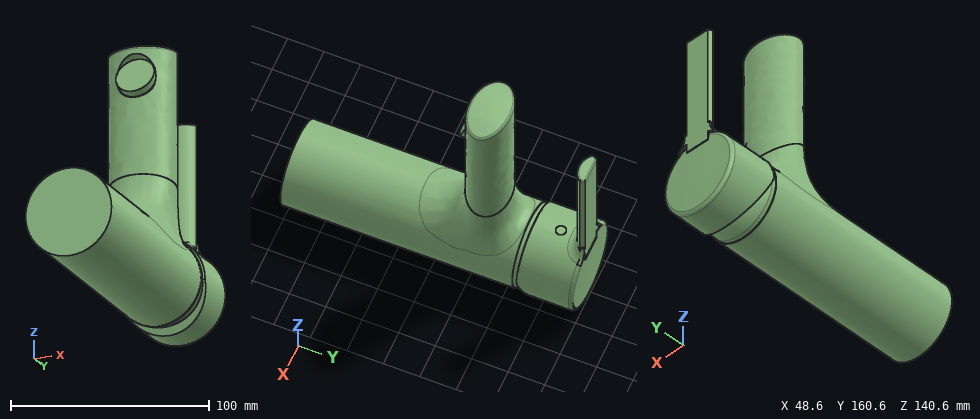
import cadquery as cq
import math

BODY_RADIUS = 23.3
BODY_LENGTH = 127.0

NECK_RADIUS = 22.8
NECK_MID_RADIUS = 21.4
NECK_TIP_RADIUS = 18.5
NECK_TIP_Y = 139.7
CAP_RADIUS = 24.3
CAP_FRONT_Y = 129.8
CAP_BEVEL_Y = 140.4
CAP_BACK_Y = 160.6
CAP_DOME = 0.5
CAP_EDGE_FILLET = 2.0
DOT_RADIUS = 2.7
DOT_Y = 144.0
DOT_DEPTH = 0.2

LEVER_TOP = 91.9
LEVER_HALF_WIDTH = 8.7
LEVER_BACK_HALF_WIDTH = 7.4
LEVER_THICKNESS = 6.7
LEVER_SIDE_DEPTH = 2.5
LEVER_TOP_FILLET = 0.8
FLARE_TOP = 29.0
FLARE_HALF_WIDTH = 13.5
FLARE_DEPTH = 11.4

SPOUT_Y = 105.2
SPOUT_HALF_WIDTH = 18.3
SPOUT_HALF_DEPTH = 11.2
SPOUT_TOP = 116.3
SPOUT_DOME_RADIUS = 80.3
SPOUT_EDGE_FILLET = 1.3

BLEND_MID_Z = 42.4
BLEND_RISE = 5.1
BLEND_HALF_WIDTH = 21.5
BLEND_FRONT_Y = 68.5
BLEND_BACK_Y = 126.9

BLEND_SINK = 0.02
BLEND_LIP = 0.06
FOOT_SQUARENESS = 2.6
BLEND_STEPS = 6
RING_POINTS = 24

AERATOR_RADIUS = 10.3
AERATOR_Y = 94.0
AERATOR_Z = 100.0
AERATOR_TILT = 22.0
AERATOR_HEIGHT = 4.5
POCKET_RADIUS = 10.6
POCKET_LENGTH = 12.8


def make_body():
    body = cq.Workplane("XZ").circle(BODY_RADIUS).extrude(-BODY_LENGTH)
    neck_mid_y = (CAP_FRONT_Y + NECK_TIP_Y) / 2
    neck = (
        cq.Workplane("XY")
        .moveTo(0, BODY_LENGTH)
        .lineTo(NECK_RADIUS, BODY_LENGTH)
        .lineTo(NECK_RADIUS, CAP_FRONT_Y)
        .threePointArc((NECK_MID_RADIUS, neck_mid_y), (NECK_TIP_RADIUS, NECK_TIP_Y))
        .lineTo(0, NECK_TIP_Y)
        .close()
        .revolve(360, (0, 0, 0), (0, 1, 0))
    )
    return body.union(neck)


def make_cap():
    rim_y = CAP_BACK_Y - CAP_DOME
    rim_radius = CAP_RADIUS - CAP_EDGE_FILLET
    dome_radius = (rim_radius**2 + CAP_DOME**2) / (2 * CAP_DOME)
    cap = (
        cq.Workplane("XY")
        .moveTo(0, CAP_FRONT_Y)
        .lineTo(CAP_RADIUS, CAP_FRONT_Y)
        .lineTo(CAP_RADIUS, rim_y - CAP_EDGE_FILLET)
        .radiusArc((rim_radius, rim_y), -CAP_EDGE_FILLET)
        .radiusArc((0, CAP_BACK_Y), -dome_radius)
        .close()
        .revolve(360, (0, 0, 0), (0, 1, 0))
    )
    bevel = (
        cq.Workplane("YZ")
        .polyline([(CAP_FRONT_Y, 0), (CAP_BEVEL_Y, -CAP_RADIUS), (CAP_FRONT_Y, -CAP_RADIUS)])
        .close()
        .extrude(CAP_RADIUS, both=True)
    )
    dot = (
        cq.Workplane("XY", origin=(0, DOT_Y, CAP_RADIUS - DOT_DEPTH))
        .circle(DOT_RADIUS)
        .extrude(2 * DOT_DEPTH)
    )
    return cap.cut(bevel).cut(dot)


def blend_point(angle, t, radius, wall, foot):
    """Point on the curve from the upright wall (t = 0) to a bar along Y (t = 1).

    wall holds centre y, half width, half depth, middle height and half height
    difference of the upper ellipse; foot holds centre y, half width and half
    length of the footprint on the bar.
    """
    across, along = math.cos(angle), math.sin(angle)
    wall_y, wall_half_width, wall_half_depth, wall_z, wall_rise = wall
    start_x = (wall_half_width + BLEND_LIP) * across
    start_y = wall_y + (wall_half_depth + BLEND_LIP) * along
    start = cq.Vector(start_x, start_y, wall_z - wall_rise * along)

    foot_y, foot_half_width, foot_half_length = foot
    power = FOOT_SQUARENESS
    stretch = (abs(across) ** power + abs(along) ** power) ** (-1 / power)
    wrap = math.asin(foot_half_width / radius) * across * stretch
    foot_radius = radius - BLEND_SINK
    end = cq.Vector(
        foot_radius * math.sin(wrap),
        foot_y + foot_half_length * along * stretch,
        foot_radius * math.cos(wrap),
    )

    tangent_z = (foot_radius - start_x * math.sin(wrap)) / math.cos(wrap)
    control = cq.Vector(start_x, start_y, tangent_z)
    return start * (1 - t) ** 2 + control * (2 * t * (1 - t)) + end * t**2


def make_blend(radius, wall, foot):
    rings = []
    for step in range(BLEND_STEPS + 1):
        t = step / BLEND_STEPS
        angles = [2 * math.pi * i / RING_POINTS for i in range(RING_POINTS)]
        points = [blend_point(angle, t, radius, wall, foot) for angle in angles]
        rings.append(cq.Wire.assembleEdges([cq.Edge.makeSpline(points, periodic=True)]))
    skirt = cq.Solid.makeLoft(rings).Faces()
    skirt = [face for face in skirt if face.geomType() != "PLANE"]
    top = cq.Face.makeFromWires(rings[0])
    bottom = cq.Face.makeNSidedSurface(rings[-1].Edges(), [])
    shell = cq.Shell.makeShell(skirt + [top, bottom])
    return cq.Workplane(cq.Solid.makeSolid(shell).fix())


def make_lever():
    side_y = CAP_BACK_Y - LEVER_SIDE_DEPTH
    base_z = CAP_RADIUS - LEVER_THICKNESS
    blade = (
        cq.Workplane("XY", origin=(0, 0, base_z))
        .moveTo(-LEVER_BACK_HALF_WIDTH, CAP_BACK_Y)
        .lineTo(-LEVER_HALF_WIDTH, side_y)
        .threePointArc((0, CAP_BACK_Y - LEVER_THICKNESS), (LEVER_HALF_WIDTH, side_y))
        .lineTo(LEVER_BACK_HALF_WIDTH, CAP_BACK_Y)
        .close()
        .extrude(LEVER_TOP - base_z)
    )
    return blade.faces(">Z").edges().fillet(LEVER_TOP_FILLET)


def make_lever_flare():
    """Blend around a full ellipse, of which only the half in front of the flat back stays."""
    wall = (CAP_BACK_Y, LEVER_HALF_WIDTH, LEVER_THICKNESS, FLARE_TOP, 0)
    foot = (CAP_BACK_Y, FLARE_HALF_WIDTH, FLARE_DEPTH)
    flare = make_blend(CAP_RADIUS, wall, foot)
    behind_back = cq.Workplane("XY", origin=(0, CAP_BACK_Y, 0)).box(
        4 * FLARE_HALF_WIDTH, 2 * FLARE_DEPTH, 2 * LEVER_TOP, centered=(True, False, True)
    )
    return flare.cut(behind_back)


def make_spout_blend():
    wall = (SPOUT_Y, SPOUT_HALF_WIDTH, SPOUT_HALF_DEPTH, BLEND_MID_Z, BLEND_RISE)
    foot_y = (BLEND_FRONT_Y + BLEND_BACK_Y) / 2
    foot = (foot_y, BLEND_HALF_WIDTH, (BLEND_BACK_Y - BLEND_FRONT_Y) / 2)
    return make_blend(BODY_RADIUS, wall, foot)


def make_spout():
    column = (
        cq.Workplane("XY", origin=(0, SPOUT_Y, 0))
        .ellipse(SPOUT_HALF_WIDTH, SPOUT_HALF_DEPTH)
        .extrude(SPOUT_TOP)
    )
    dome_centre = (0, SPOUT_Y, SPOUT_TOP - SPOUT_DOME_RADIUS)
    dome = cq.Workplane("XY", origin=dome_centre).sphere(SPOUT_DOME_RADIUS)
    column = column.intersect(dome).faces(">Z").edges().fillet(SPOUT_EDGE_FILLET)

    tilt = math.radians(AERATOR_TILT)
    face_plane = cq.Plane(
        origin=(0, AERATOR_Y, AERATOR_Z),
        xDir=(1, 0, 0),
        normal=(0, -math.cos(tilt), math.sin(tilt)),
    )
    pocket = (
        cq.Workplane(face_plane)
        .workplane(offset=-AERATOR_HEIGHT)
        .circle(POCKET_RADIUS)
        .extrude(POCKET_LENGTH)
    )
    aerator = cq.Workplane(face_plane).circle(AERATOR_RADIUS).extrude(-AERATOR_HEIGHT)
    return column.cut(pocket).union(aerator)


body_with_spout = make_body().union(make_spout_blend()).union(make_spout())
lever = make_lever().union(make_lever_flare())
handle = make_cap().union(lever)
result = body_with_spout.union(handle)